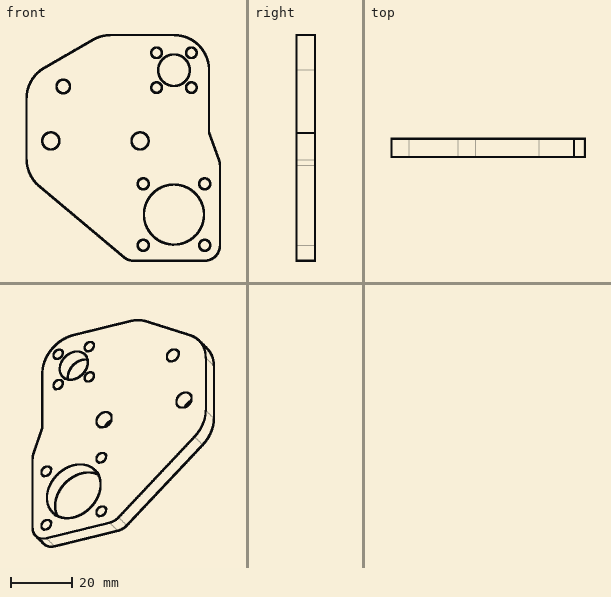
import cadquery as cq
import math

width = 63.0
height = 73.5
thickness = 6.0

large_radius = 11.5
small_radius = 5.1
upper_width = 59.45
step_top_z = 41.7
step_angle = 20.0
upper_left_angle = 30.0
lower_left_angle = 40.0
left_edge_top = 59.45
left_edge_bottom = 27.8

group_x = upper_width - large_radius
upper_group_z = height - large_radius
upper_bore = 10.2
upper_screw = 3.4
upper_screw_offset = 5.65
lower_group_z = 15.1
lower_bore = 19.5
lower_screw = 3.5
lower_screw_offset = 10.0

pivot_diameter = 5.5
pivot_z = 39.0
pivot_xs = (7.95, 37.0)
pin_diameter = 4.3
pin_x = 12.0
pin_z = 56.75


def slope(degrees):
    return math.tan(math.radians(degrees))


def drill(plate, diameter, points):
    """Cut through holes at the given (x, z) points."""
    cutters = cq.Workplane("XZ").pushPoints(points).circle(diameter / 2).extrude(thickness)
    return plate.cut(cutters)


def drill_group(plate, z, bore, screw, offset):
    """Cut a bore surrounded by a square pattern of four screw holes."""
    screws = [(group_x + i * offset, z + j * offset) for i in (-1, 1) for j in (-1, 1)]
    plate = drill(plate, bore, [(group_x, z)])
    return drill(plate, screw, screws)


def round_corner(plate, corner, radius):
    """Round the edge through the thickness at an (x, z) corner of the outline."""
    x, z = corner
    edge = cq.selectors.NearestToPointSelector((x, -thickness / 2, z))
    return plate.edges("|Y").edges(edge).fillet(radius)


bottom_left = (left_edge_bottom / slope(lower_left_angle), 0)
bottom_right = (width, 0)
step_bottom = (width, step_top_z - (width - upper_width) / slope(step_angle))
step_top = (upper_width, step_top_z)
top_right = (upper_width, height)
top_left = ((height - left_edge_top) / slope(upper_left_angle), height)
left_upper = (0, left_edge_top)
left_lower = (0, left_edge_bottom)

outline = [bottom_left, bottom_right, step_bottom, step_top,
           top_right, top_left, left_upper, left_lower]
plate = cq.Workplane("XZ").polyline(outline).close().extrude(thickness)

for corner in (bottom_left, bottom_right, step_bottom):
    plate = round_corner(plate, corner, small_radius)
for corner in (top_right, top_left, left_upper, left_lower):
    plate = round_corner(plate, corner, large_radius)

plate = drill_group(plate, upper_group_z, upper_bore, upper_screw, upper_screw_offset)
plate = drill_group(plate, lower_group_z, lower_bore, lower_screw, lower_screw_offset)
plate = drill(plate, pivot_diameter, [(x, pivot_z) for x in pivot_xs])
plate = drill(plate, pin_diameter, [(pin_x, pin_z)])

result = plate